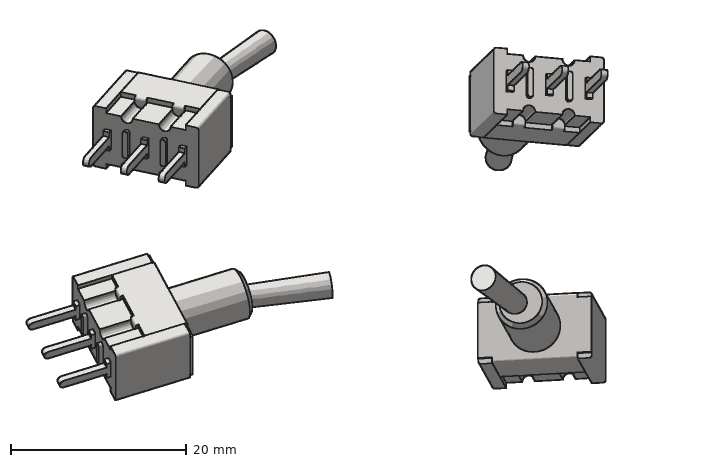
import cadquery as cq
import math


OVERALL_LENGTH = 34.65
BODY_WIDTH = 13.2
BODY_HEIGHT = 7.9
BODY_DEPTH = 9.5

PLATE_THICKNESS = 0.35
LEG_WIDTH = 9.9
LEG_THICKNESS = 0.62
LEG_END_Y = 4.2
BEND_RADIUS = PLATE_THICKNESS
TAB_PROJECTION = 0.35
TAB_BEND_RADIUS = TAB_PROJECTION

BUSHING_DIAMETER = 6.0
BUSHING_LENGTH = 9.0
BUSHING_CHAMFER = 0.52

HOUSING_DEPTH = BODY_DEPTH - PLATE_THICKNESS
HOUSING_EDGE_RADIUS = 0.35
GROOVE_RADIUS = 0.73
STANDOFF_LENGTH = 3.5
STANDOFF_WIDTH = 0.65

PIN_PITCH = 4.7
PIN_LENGTH = 6.3
PIN_THICKNESS = 0.75
PIN_HEIGHT = 1.18
SHOULDER_HEIGHT = 2.42
SHOULDER_LENGTH = 0.52

LEVER_TILT = 12.0
LEVER_HALF_TAPER = 1.0
LEVER_TIP_DIAMETER = 3.0
LEVER_PIVOT_DEPTH = 3.0

PIN_POSITIONS = [-PIN_PITCH, 0, PIN_PITCH]
GROOVE_POSITIONS = [-PIN_PITCH / 2, PIN_PITCH / 2]
TOP_Z = BODY_HEIGHT / 2
LEG_INNER_Z = TOP_Z - LEG_THICKNESS
BUSHING_END_Y = BODY_DEPTH + BUSHING_LENGTH
TAB_FACE_Y = LEG_END_Y - TAB_PROJECTION


def block(width, height, y_start, y_end, x=0.0, z=0.0):
    """Box centred on (x, z) in cross-section, running from y_start to y_end."""
    return cq.Workplane("XY").box(width, y_end - y_start, height).translate((x, (y_start + y_end) / 2, z))


def rod(radius, y_start, y_end, x=0.0, z=0.0):
    """Round bar parallel to Y, running from y_start to y_end."""
    return cq.Workplane(
        cq.Solid.makeCylinder(radius, y_end - y_start, cq.Vector(x, y_start, z), cq.Vector(0, 1, 0))
    )


def make_housing():
    housing = block(BODY_WIDTH, BODY_HEIGHT, 0, HOUSING_DEPTH).edges("|Y").fillet(HOUSING_EDGE_RADIUS)
    for side in (1, -1):
        channel_z = side * (TOP_Z + LEG_INNER_Z) / 2
        housing = housing.cut(block(LEG_WIDTH, LEG_THICKNESS, 0, HOUSING_DEPTH, z=channel_z))
        for x in GROOVE_POSITIONS:
            housing = housing.cut(rod(GROOVE_RADIUS, 0, LEG_END_Y, x, side * LEG_INNER_Z))
    standoffs = (
        cq.Workplane("XZ")
        .pushPoints([(x, 0) for x in GROOVE_POSITIONS])
        .slot2D(STANDOFF_LENGTH, STANDOFF_WIDTH, 90)
        .extrude(SHOULDER_LENGTH)
    )
    return housing.union(standoffs)


def make_tab(x):
    """Tab of the upper leg, bent down into the half-round groove at x."""
    width = 2 * GROOVE_RADIUS
    root_y = LEG_END_Y + LEG_THICKNESS
    bend = block(width, LEG_THICKNESS, TAB_FACE_Y, root_y, x, (TOP_Z + LEG_INNER_Z) / 2)
    bend = bend.edges("|X and >Z and <Y").fillet(TAB_BEND_RADIUS)
    disc = rod(GROOVE_RADIUS, TAB_FACE_Y, LEG_END_Y, x, LEG_INNER_Z)
    upper_half = block(width, GROOVE_RADIUS, TAB_FACE_Y, LEG_END_Y, x, LEG_INNER_Z + GROOVE_RADIUS / 2)
    return bend.union(disc.cut(upper_half))


def make_frame():
    frame = block(LEG_WIDTH, BODY_HEIGHT, LEG_END_Y, BODY_DEPTH).edges("|X and >Y").fillet(BEND_RADIUS)
    frame = frame.cut(block(LEG_WIDTH, 2 * LEG_INNER_Z, LEG_END_Y, HOUSING_DEPTH))
    frame = frame.union(block(BODY_WIDTH, 2 * LEG_INNER_Z, HOUSING_DEPTH, BODY_DEPTH))
    for x in GROOVE_POSITIONS:
        upper_tab = make_tab(x)
        frame = frame.union(upper_tab).union(upper_tab.mirror("XY"))
    bushing = rod(BUSHING_DIAMETER / 2, BODY_DEPTH, BUSHING_END_Y).faces(">Y").chamfer(BUSHING_CHAMFER)
    return frame.union(bushing)


def make_pin(x):
    tip_radius = PIN_HEIGHT / 2
    shoulder = block(PIN_THICKNESS, SHOULDER_HEIGHT, -SHOULDER_LENGTH, 0, x)
    blade = block(PIN_THICKNESS, PIN_HEIGHT, tip_radius - PIN_LENGTH, -SHOULDER_LENGTH, x)
    tip = cq.Workplane(
        cq.Solid.makeCylinder(
            tip_radius,
            PIN_THICKNESS,
            cq.Vector(x - PIN_THICKNESS / 2, tip_radius - PIN_LENGTH, 0),
            cq.Vector(1, 0, 0),
        )
    )
    return shoulder.union(blade).union(tip)


def make_lever():
    tilt = math.radians(LEVER_TILT)
    tip_radius = LEVER_TIP_DIAMETER / 2
    pivot_y = BUSHING_END_Y - LEVER_PIVOT_DEPTH
    tip_reach = OVERALL_LENGTH - PIN_LENGTH - pivot_y
    length = (tip_reach - tip_radius * math.sin(tilt)) / math.cos(tilt)
    pivot_radius = tip_radius - length * math.tan(math.radians(LEVER_HALF_TAPER))
    cone = cq.Workplane(
        cq.Solid.makeCone(
            pivot_radius,
            tip_radius,
            length,
            cq.Vector(0, pivot_y, 0),
            cq.Vector(math.sin(tilt), math.cos(tilt), 0),
        )
    )
    return cone.cut(rod(BUSHING_DIAMETER / 2, BODY_DEPTH, BUSHING_END_Y))


housing = make_housing()
frame = make_frame()
lever = make_lever()
pins = [make_pin(x) for x in PIN_POSITIONS]

result = cq.Compound.makeCompound([housing.val(), frame.val(), lever.val(), *[pin.val() for pin in pins]])